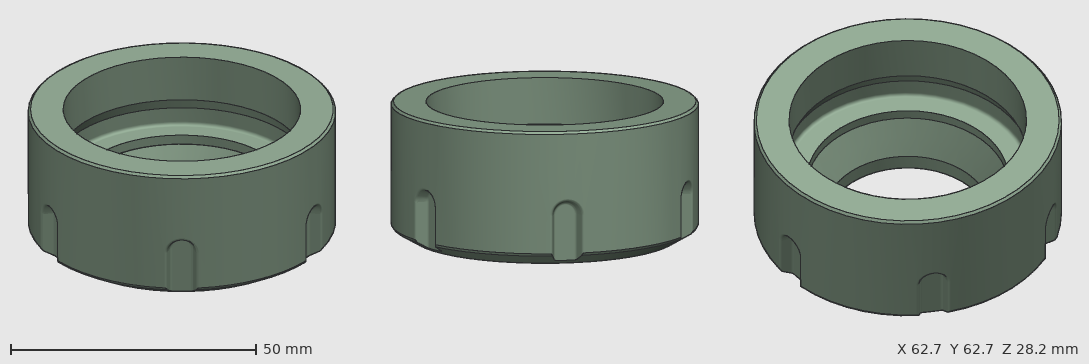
import cadquery as cq
import math

outer_radius = 31.35
height = 28.2
top_chamfer = 0.5
bottom_face_radius = 26.95
bevel_angle = 30.0
bevel_edge_width = 0.4
bevel_edge_height = 0.55
waste_margin = 0.6

mouth_radius = 48.4 / 2
relief_radius = 50.5 / 2
mouth_bottom_z = 18.55
relief_taper_height = 2.3
relief_floor_z = 12.3
relief_floor_fillet = 0.75
seat_radius = 20.5
seat_bottom_z = 10.3
seat_offset = 0.1
hole_radius = 33.5 / 2
hole_top_z = 3.2

slot_count = 6
slot_floor_radius = 28.5
slot_floor_half_width = 2.25
slot_arch_z = 10.6
slot_wall_taper = 18.0
slot_floor_fillet = 0.55
slot_edge_fillet = 0.5
slot_overrun = 3.15

tolerance = 0.005


def revolve_profile(points):
    """Turn a closed (radius, z) polygon about the Z axis."""
    return cq.Workplane("XZ").polyline(points).close().revolve(360, (0, 0, 0), (0, 1, 0))


def make_bevel_waste():
    """Material outside the bottom bevel and its broken upper edge."""
    slope = math.tan(math.radians(bevel_angle))
    clear_radius = outer_radius + waste_margin
    edge_inner_radius = outer_radius - bevel_edge_width
    edge_bottom_z = (edge_inner_radius - bottom_face_radius) * slope
    return revolve_profile([
        (bottom_face_radius - waste_margin / slope, -waste_margin),
        (edge_inner_radius, edge_bottom_z),
        (clear_radius, edge_bottom_z + bevel_edge_height * (1 + waste_margin / bevel_edge_width)),
        (clear_radius, -waste_margin),
    ])


def make_eccentric_seat():
    """Shallow relief of the seat wall, bored off centre towards -X."""
    return (
        cq.Workplane("XY", origin=(-seat_offset, 0, seat_bottom_z))
        .circle(seat_radius)
        .extrude(relief_floor_z - seat_bottom_z)
    )


def make_bore():
    """Stepped cavity: mouth, undercut relief, seat, cone and through hole."""
    relief_fillet_end = relief_radius - relief_floor_fillet
    fillet_mid_offset = relief_floor_fillet * (1 - math.sqrt(0.5))
    return (
        cq.Workplane("XZ")
        .moveTo(0, 0)
        .lineTo(hole_radius, 0)
        .lineTo(hole_radius, hole_top_z)
        .lineTo(seat_radius, seat_bottom_z)
        .lineTo(seat_radius, relief_floor_z)
        .lineTo(relief_fillet_end, relief_floor_z)
        .threePointArc(
            (relief_radius - fillet_mid_offset, relief_floor_z + fillet_mid_offset),
            (relief_radius, relief_floor_z + relief_floor_fillet),
        )
        .lineTo(relief_radius, mouth_bottom_z - relief_taper_height)
        .lineTo(mouth_radius, mouth_bottom_z)
        .lineTo(mouth_radius, height)
        .lineTo(0, height)
        .close()
        .revolve(360, (0, 0, 0), (0, 1, 0))
    )


def make_slot_cutter():
    """Round-topped slot on the -Y side, widening outward, with a filleted floor."""
    depth = outer_radius - slot_floor_radius + slot_overrun
    cutter = (
        cq.Workplane("XZ", origin=(0, -slot_floor_radius, 0))
        .moveTo(-slot_floor_half_width, -slot_overrun)
        .lineTo(slot_floor_half_width, -slot_overrun)
        .lineTo(slot_floor_half_width, slot_arch_z)
        .threePointArc((0, slot_arch_z + slot_floor_half_width), (-slot_floor_half_width, slot_arch_z))
        .close()
        .extrude(depth, taper=-slot_wall_taper)
    )
    return cutter.faces(">Y").edges().fillet(slot_floor_fillet)


def is_slot_rim(edge):
    """True for edges on the outer cylinder that rise above the flat bottom rim and stay below the top."""
    samples = [edge.positionAt(t) for t in (0, 0.5, 1)]
    on_cylinder = all(abs(math.hypot(p.x, p.y) - outer_radius) < tolerance for p in samples)
    mid_z = samples[1].z
    return on_cylinder and tolerance < mid_z < height - tolerance and not is_seam(edge)


def is_seam(edge):
    """True for the full-height seam line of the outer cylinder."""
    return edge.BoundingBox().zmax > height - tolerance


def make_slotted_blank():
    """Plain cylinder with the slots cut and their outer rims rounded."""
    blank = cq.Workplane("XY").circle(outer_radius).extrude(height)
    cutter = make_slot_cutter()
    for index in range(slot_count):
        blank = blank.cut(cutter.rotate((0, 0, 0), (0, 0, 1), index * 360 / slot_count))
    rims = [edge for edge in blank.edges().vals() if is_slot_rim(edge)]
    return blank.newObject(rims).fillet(slot_edge_fillet)


body = make_slotted_blank().cut(make_bevel_waste())
body = body.faces(">Z").edges().chamfer(top_chamfer)
result = body.cut(make_bore()).cut(make_eccentric_seat())